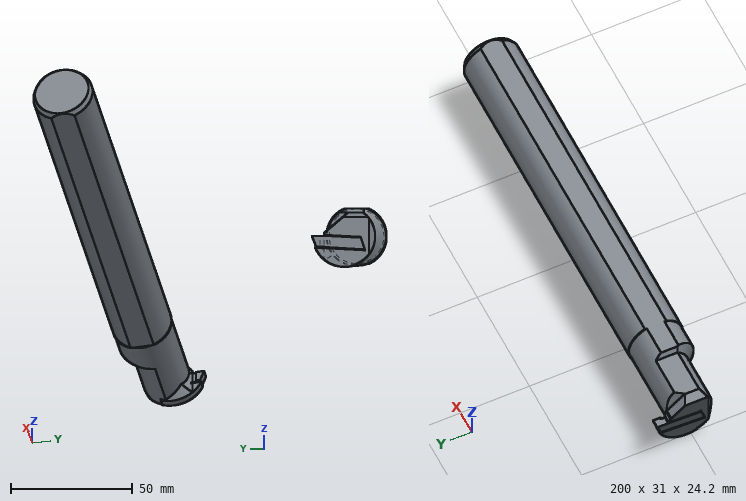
import cadquery as cq

LENGTH = 200.0
SHANK_RADIUS = 12.5
FLAT_HEIGHT = 11.5
END_CHAMFER_LENGTH = 2.4
END_CHAMFER_DEPTH = 1.2

HEAD_LENGTH = 40.0
HEAD_RADIUS = 12.2

NECK_LENGTH = 24.5
NECK_OFFSET = 4.5
NECK_RADIUS = HEAD_RADIUS
NECK_FLAT_HEIGHT = 9.8
FLARE_LENGTH = 8.0

SIDE_BEVEL = 2.5
TOP_BEVEL_LENGTH = 4.2
TOP_BEVEL_DEPTH = 1.8

CHIP_LENGTH = 4.4
CHIP_OUTER_Y = 13.4
CHIP_OUTER_Z = 1.4
CHIP_INNER_Y = 4.0
CHIP_INNER_Z = 9.4
CHIP_HEIGHT = 12.0

BLADE_THICKNESS = 3.3
BLADE_RADIUS = 13.2
BLADE_CENTER_Y = 5.0
BLADE_CENTER_Z = 0.5
BLADE_RUNOUT = 4.0
BLADE_STEP_Z = 0.5
BLADE_CREST_Z = 2.4

TIP_Y = 18.5
TIP_Z = 0.2
TIP_WIDTH = 4.0
TIP_INNER_Y = 15.0
HEEL_Y = 16.8
HEEL_Z = -4.2
REAR_TOP_Y = -1.8
REAR_TOP_Z = -0.5
REAR_BOTTOM_Y = -3.4
REAR_BOTTOM_Z = -5.4
SEAT_GAP = 0.4
SEAT_OVERRUN = 1.5

BIG = 60.0


def section(x):
    """Sketch plane across the tool: local x is Y and local y is Z."""
    return cq.Workplane("YZ", origin=(x, 0, 0))


def make_shank():
    bar = section(HEAD_LENGTH).circle(SHANK_RADIUS).extrude(LENGTH - HEAD_LENGTH)
    end_cone = (
        cq.Workplane("XY")
        .moveTo(LENGTH - END_CHAMFER_LENGTH, SHANK_RADIUS)
        .lineTo(LENGTH, SHANK_RADIUS - END_CHAMFER_DEPTH)
        .lineTo(LENGTH, SHANK_RADIUS)
        .close()
        .revolve(360, (0, 0, 0), (1, 0, 0))
    )
    slab = section(0).rect(BIG, 2 * FLAT_HEIGHT).extrude(LENGTH)
    return bar.intersect(slab).cut(end_cone)


def make_neck_envelope():
    """Relieved neck outline, flaring at 45 degrees up to the head."""
    profile_end = NECK_LENGTH + FLARE_LENGTH
    full_radius = NECK_RADIUS + FLARE_LENGTH
    round_part = (
        cq.Workplane("XY", origin=(0, NECK_OFFSET, 0))
        .polyline([
            (0, 0),
            (0, NECK_RADIUS),
            (NECK_LENGTH, NECK_RADIUS),
            (profile_end, full_radius),
            (HEAD_LENGTH, full_radius),
            (HEAD_LENGTH, 0),
        ])
        .close()
        .revolve(360, (0, 0, 0), (1, 0, 0))
    )
    flat_rise = FLAT_HEIGHT - NECK_FLAT_HEIGHT
    flat_part = (
        cq.Workplane("XZ")
        .polyline([
            (0, -BIG),
            (0, NECK_FLAT_HEIGHT - TOP_BEVEL_DEPTH),
            (TOP_BEVEL_LENGTH, NECK_FLAT_HEIGHT),
            (NECK_LENGTH, NECK_FLAT_HEIGHT),
            (NECK_LENGTH + flat_rise, FLAT_HEIGHT),
            (HEAD_LENGTH, FLAT_HEIGHT),
            (HEAD_LENGTH, -BIG),
        ])
        .close()
        .extrude(BIG, both=True)
    )
    return round_part.intersect(flat_part)


def make_side_bevel():
    neck_side = NECK_OFFSET - NECK_RADIUS
    return (
        cq.Workplane("XY")
        .polyline([(0, neck_side), (0, neck_side + SIDE_BEVEL), (SIDE_BEVEL, neck_side)])
        .close()
        .extrude(BIG, both=True)
    )


def make_chip_space():
    """Space above the sloping floor, closed at the back by a 45 degree wall."""
    run = CHIP_INNER_Y - CHIP_OUTER_Y
    rise = CHIP_INNER_Z - CHIP_OUTER_Z
    floor_plane = cq.Plane(
        origin=(0, CHIP_OUTER_Y, CHIP_OUTER_Z), xDir=(1, 0, 0), normal=(0, run, rise)
    )
    return (
        cq.Workplane(floor_plane)
        .polyline([
            (0, 0),
            (CHIP_LENGTH, 0),
            (CHIP_LENGTH + CHIP_HEIGHT, CHIP_HEIGHT),
            (0, CHIP_HEIGHT),
        ])
        .close()
        .extrude(BIG, both=True)
    )


def make_blade():
    blade = (
        section(0)
        .center(BLADE_CENTER_Y, BLADE_CENTER_Z)
        .circle(BLADE_RADIUS)
        .extrude(BLADE_THICKNESS)
        .faces(">X")
        .workplane()
        .circle(BLADE_RADIUS)
        .extrude(BLADE_RUNOUT, taper=45)
    )
    outer_relief = (
        section(0)
        .moveTo(CHIP_OUTER_Y, BLADE_STEP_Z)
        .rect(BIG, BIG, centered=False)
        .extrude(BIG)
    )
    side_relief = (
        section(0)
        .moveTo(-BIG, -BIG)
        .rect(BIG, 2 * BIG, centered=False)
        .extrude(BIG)
    )
    crest_relief = (
        section(0)
        .moveTo(-BIG, BLADE_CREST_Z)
        .rect(2 * BIG, BIG, centered=False)
        .extrude(BIG)
    )
    back_relief = (
        cq.Workplane("XY", origin=(BLADE_THICKNESS, CHIP_OUTER_Y, 0))
        .polyline([(0, 0), (0, BIG), (BIG, BIG), (BIG, -BIG)])
        .close()
        .extrude(BIG, both=True)
    )
    return blade.cut(outer_relief).cut(side_relief).cut(crest_relief).cut(back_relief)


def insert_outline(gap, overrun):
    """Outline in Y and Z, opened by a gap above and below and run out past the tip."""
    rear_lean = (REAR_TOP_Y - REAR_BOTTOM_Y) / (REAR_TOP_Z - REAR_BOTTOM_Z)
    rear_shift = rear_lean * gap
    return (
        section(0)
        .polyline([
            (TIP_Y + overrun, TIP_Z + gap),
            (CHIP_OUTER_Y, TIP_Z + gap),
            (REAR_TOP_Y + rear_shift, REAR_TOP_Z + gap),
            (REAR_BOTTOM_Y - rear_shift, REAR_BOTTOM_Z - gap),
            (HEEL_Y + overrun, HEEL_Z - gap),
        ])
        .close()
    )


def make_insert():
    full = insert_outline(0, 0).extrude(TIP_WIDTH)
    body_relief = (
        cq.Workplane("XY", origin=(BLADE_THICKNESS, TIP_INNER_Y, 0))
        .rect(BIG, -BIG, centered=False)
        .extrude(BIG, both=True)
    )
    return full.cut(body_relief)


def make_insert_seat():
    seat = insert_outline(SEAT_GAP, SEAT_OVERRUN).extrude(BLADE_THICKNESS)
    tip_region = cq.Workplane("XY", origin=(0, TIP_INNER_Y + BIG / 2, 0)).box(2 * BIG, BIG, BIG)
    tip_space = (
        insert_outline(SEAT_GAP, SEAT_OVERRUN)
        .extrude(BIG)
        .intersect(tip_region)
    )
    return seat.union(tip_space)


def make_holder():
    head = section(0).circle(HEAD_RADIUS).extrude(HEAD_LENGTH)
    head = head.intersect(make_neck_envelope()).cut(make_side_bevel())
    head = head.union(make_blade()).cut(make_chip_space())
    return head.cut(make_insert_seat()).union(make_shank())


holder = make_holder()
insert = make_insert()

result = cq.Compound.makeCompound([holder.val(), insert.val()])